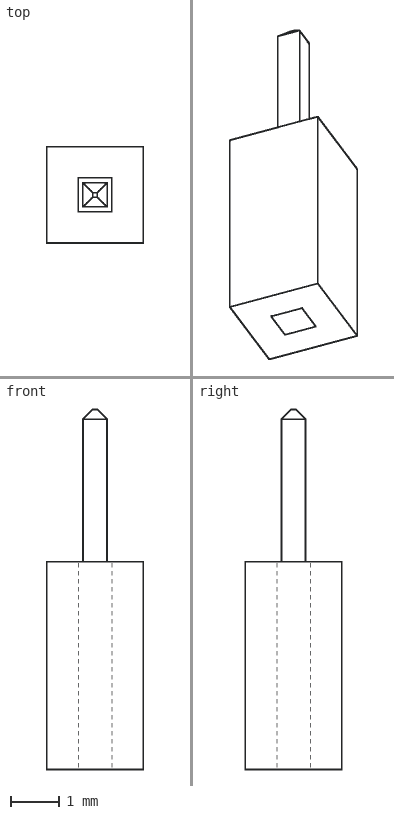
import cadquery as cq

total_height = 7.45
housing_width = 2.0
housing_height = 4.3

insert_width = 0.7

pin_width = 0.5
tip_width = 0.1
tip_height = 0.2
pin_shank_length = total_height - housing_height - tip_height


def square_bar(width, bottom, height):
    """Square bar centred on the Z axis, rising from the bottom level."""
    return cq.Workplane("XY").workplane(offset=bottom).rect(width, width).extrude(height)


def make_insert():
    """Square bar that fills the passage through the housing."""
    return square_bar(insert_width, 0, housing_height)


def make_housing():
    """Square block with a through passage for the insert."""
    block = square_bar(housing_width, 0, housing_height)
    return block.cut(make_insert())


def make_pin():
    """Square pin standing on the insert, tapering to a small flat at its tip."""
    shank = square_bar(pin_width, housing_height, pin_shank_length)
    tip = (
        shank.faces(">Z").workplane()
        .rect(pin_width, pin_width)
        .workplane(offset=tip_height)
        .rect(tip_width, tip_width)
        .loft(combine=False)
    )
    return shank.union(tip)


housing = make_housing()
insert = make_insert()
pin = make_pin()

result = cq.Compound.makeCompound([housing.val(), insert.val(), pin.val()])